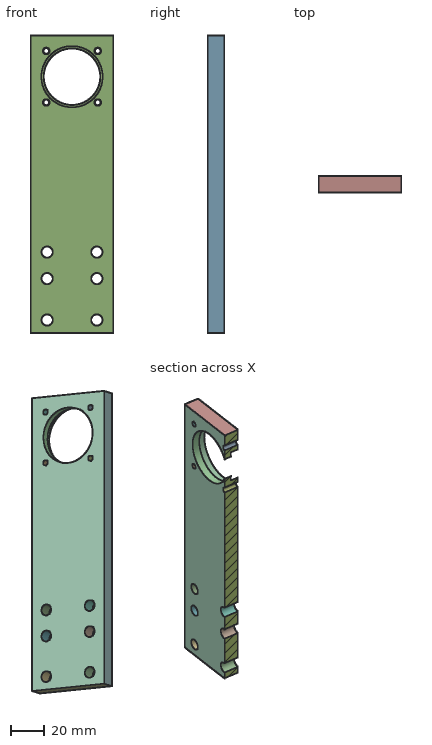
import cadquery as cq

height = 180.0
width = 50.0
thickness = 10.0

bore_drop = 25.0
bore_diameter = 34.0
recess_diameter = 37.0
recess_depth = 5.0
screw_spacing = 31.1
screw_diameter = 3.2
screw_sink_diameter = 4.1

mount_diameter = 6.7
mount_spacing = 30.0
mount_heights = (8.0, 33.0, 49.0)

bore_height = height - bore_drop


def front_cylinder(x, z, diameter, depth):
    """Cylinder running from the front face (Y = 0) into the plate."""
    center = cq.Vector(x, 0, z)
    return cq.Workplane(cq.Solid.makeCylinder(diameter / 2, depth, center, cq.Vector(0, 1, 0)))


def screw_countersink(x, z):
    """45 degree cone narrowing from the front face to the screw hole."""
    mouth_radius = screw_sink_diameter / 2
    hole_radius = screw_diameter / 2
    depth = mouth_radius - hole_radius
    center = cq.Vector(x, 0, z)
    return cq.Workplane(cq.Solid.makeCone(mouth_radius, hole_radius, depth, center, cq.Vector(0, 1, 0)))


def cut_stepped_bore(plate):
    bore = front_cylinder(0, bore_height, bore_diameter, thickness)
    recess = front_cylinder(0, bore_height, recess_diameter, recess_depth)
    return plate.cut(bore).cut(recess)


def cut_screw_holes(plate):
    for side in (-1, 1):
        for end in (-1, 1):
            x = side * screw_spacing / 2
            z = bore_height + end * screw_spacing / 2
            plate = plate.cut(front_cylinder(x, z, screw_diameter, thickness))
            plate = plate.cut(screw_countersink(x, z))
    return plate


def cut_mount_holes(plate):
    for z in mount_heights:
        for side in (-1, 1):
            x = side * mount_spacing / 2
            plate = plate.cut(front_cylinder(x, z, mount_diameter, thickness))
    return plate


plate = cq.Workplane("XY").box(width, thickness, height, centered=(True, False, False))
plate = cut_stepped_bore(plate)
plate = cut_screw_holes(plate)
result = cut_mount_holes(plate)